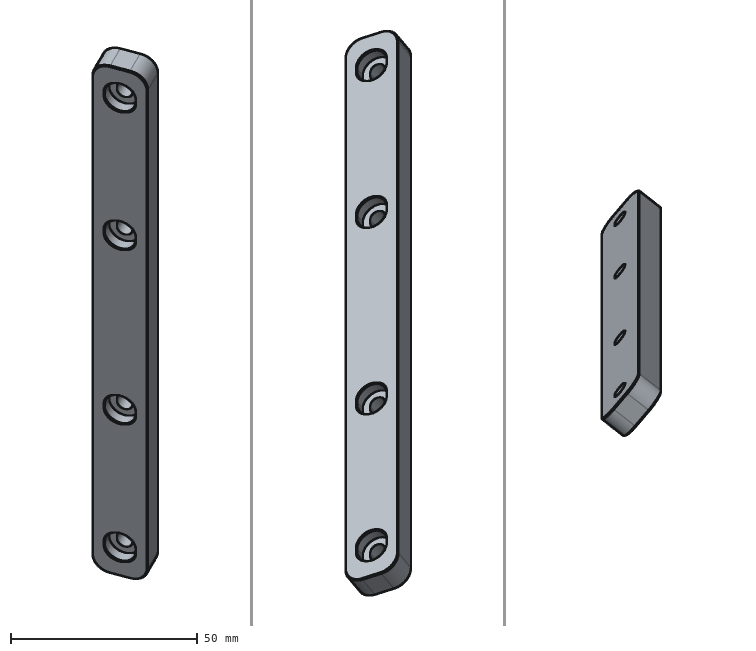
import cadquery as cq

length = 184.3
width = 16.0
thickness = 8.0
corner_radius = 5.2
edge_chamfer = 0.3

inner_slot_height = 31.7
slot_pitch = 50.0
slot_stretch = 1.0
screw_diameter = 4.5
head_diameter = 8.8
head_depth = 3.5

outer_slot_height = inner_slot_height + slot_pitch
slot_heights = [-outer_slot_height, -inner_slot_height, inner_slot_height, outer_slot_height]


def make_bar():
    """Flat bar with rounded corners."""
    bar = cq.Workplane("XY").box(width, thickness, length)
    return bar.edges("|Y").fillet(corner_radius)


def make_slots(diameter, depth):
    """Upright slots at every screw position, sunk to a depth below the front face."""
    floor = cq.Workplane("XZ", origin=(0, depth - thickness / 2, 0))
    positions = [(0, height) for height in slot_heights]
    return floor.pushPoints(positions).slot2D(diameter + slot_stretch, diameter, angle=90).extrude(depth)


through_slots = make_slots(screw_diameter, thickness)
head_recesses = make_slots(head_diameter, head_depth)

recessed_bar = make_bar().cut(head_recesses)
chamfered_bar = recessed_bar.faces("<Y or >Y").chamfer(edge_chamfer)

result = chamfered_bar.cut(through_slots)